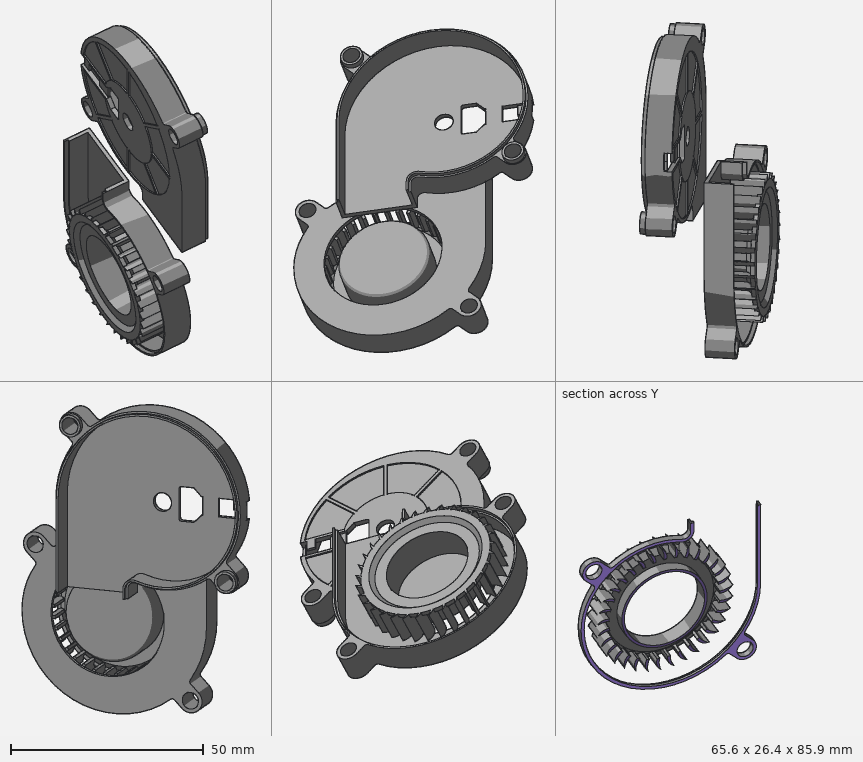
import cadquery as cq
import math


volute_radius = 25.6
volute_shift = 1.8
small_volute_radius = volute_radius - 2 * volute_shift
outlet_height = 25.3
outlet_inner_side = -7.4
tongue_radius = 1.7
wall = 1.0
lip_wall = 0.5

lug_centres = [(20.1, 17.9), (-22.95, -20.1)]
lug_radius = 3.3
lug_hole_radius = 2.2
lug_reach = 6.0
lug_fillet = 0.9

housing_front = 3.95
housing_depth = 7.8
housing_floor = 1.1
groove_depth = 1.1
intake_radius = 15.7

cover_x = -18.0
cover_z = 34.7
cover_front = 17.7
cover_depth = 7.1
cover_floor = 1.4
lip_height = 1.0
boss_radius = 2.9
boss_height = 1.55
bearing_hole_radius = 2.5

sector_depth = 0.4
sector_inner_radius = 11.9
sector_outer_radius = 21.8
sector_shift = (-0.8, 0.6)
spoke_count = 8
spoke_width = 0.95
channel_land = 0.8

slot_half_height = 2.5
slot_end = -10.8
slot_start = wall + volute_shift - volute_radius
window_half_height = 4.6
window_slope_end = slot_end + window_half_height - slot_half_height
window_right = -4.55
window_fillet = 0.7
bridge_left = -15.6
bridge_right = -11.2
bridge_recess = 0.7
notch_depth = 2.15
tab_left = -21.8
tab_right = -19.5
tab_bottom = -0.4
tab_thickness = 0.7

rim_inner_radius = 15.7
rim_outer_radius = 18.0
rim_thickness = 1.2
cone_outer_radius = 16.9
flange_radius = 15.3
flange_back = 2.75
hub_radius = 12.2
hub_bore_radius = 11.35
hub_floor = 9.9
hub_back = 10.7
hub_fillet = 0.9
blade_count = 33
blade_length = 9.1
blade_inner_radius = 15.7
blade_middle_radius = 17.9
blade_tip_radius = 19.5
blade_tip_angle = 87.3


def sketch_plane(y):
    """Plane with local axes X and Z at depth y; a negative extrusion runs toward +Y."""
    return cq.Workplane("XZ", origin=(0, y, 0))


def disc(x, z, radius, y, depth):
    return sketch_plane(y).center(x, z).circle(radius).extrude(-depth)


def block(x_min, x_max, z_min, z_max, y, depth):
    size = (x_max - x_min, depth, z_max - z_min)
    return cq.Workplane("XY").box(*size, centered=False).translate((x_min, y, z_min))


def polar(radius, angle):
    turn = math.radians(angle)
    return radius * math.cos(turn), radius * math.sin(turn)


def scroll(inset, y, depth):
    """Scroll-shaped slab, inset from the outer outline; an inset slab runs out past the outlet end."""
    big = volute_radius - inset
    small = small_volute_radius - inset
    corner = tongue_radius + inset
    left = -volute_shift - big
    right = volute_shift + small
    top = outlet_height + inset
    neck = outlet_inner_side - inset
    corner_x = neck + corner
    corner_z = math.sqrt((small + corner) ** 2 - (corner_x - volute_shift) ** 2)
    join_angle = math.degrees(math.atan2(corner_z, corner_x - volute_shift))
    join_x, join_z = polar(small, join_angle)
    mid_x, mid_z = polar(small, join_angle / 2)
    bend_angle = 180 + join_angle / 2
    bend_x, bend_z = polar(corner, bend_angle)
    return (
        sketch_plane(y)
        .moveTo(left, top)
        .lineTo(left, 0)
        .threePointArc((-volute_shift, -big), (right, 0))
        .threePointArc((mid_x + volute_shift, mid_z), (join_x + volute_shift, join_z))
        .threePointArc((corner_x + bend_x, corner_z + bend_z), (neck, corner_z))
        .lineTo(neck, top)
        .close()
        .extrude(-depth)
    )


def scroll_with_lugs(y, depth):
    """Solid scroll with two lugs, not yet bored, blended into its side."""
    body = scroll(0, y, depth)
    for x, z in lug_centres:
        inward = 225 if x > 0 else 45
        mid_x, mid_z = polar(lug_reach / 2, inward)
        web = (
            sketch_plane(y)
            .center(x + mid_x, z + mid_z)
            .transformed(rotate=(0, 0, inward))
            .rect(lug_reach, 2 * lug_radius)
            .extrude(-depth)
        )
        body = body.union(disc(x, z, lug_radius, y, depth)).union(web)
        root_x, root_z = polar(lug_reach, inward)
        root = cq.selectors.BoxSelector(
            (x + root_x - lug_reach, y, z + root_z - lug_reach),
            (x + root_x + lug_reach, y + depth, z + root_z + lug_reach),
        )
        body = body.edges("|Y").edges(root).fillet(lug_fillet)
    return body


def bore_lugs(body, y, depth):
    for x, z in lug_centres:
        body = body.cut(disc(x, z, lug_hole_radius, y, depth))
    return body


def make_housing():
    body = scroll_with_lugs(housing_front, housing_depth)
    body = body.cut(scroll(wall, housing_front, housing_depth - housing_floor))
    body = body.cut(scroll(lip_wall, housing_front, groove_depth))
    body = body.cut(disc(0, 0, intake_radius, housing_front, housing_depth))
    return bore_lugs(body, housing_front, housing_depth)


def turned(body):
    """Half turn in the X-Z plane that keeps the depth direction."""
    return body.rotate((0, 0, 0), (0, 1, 0), 180)


def cover_sectors():
    """Ring of shallow sectors left between the spokes."""
    shift_x, shift_z = sector_shift
    ring = disc(shift_x, shift_z, sector_outer_radius, 0, sector_depth)
    ring = ring.cut(disc(0, 0, sector_inner_radius, 0, sector_depth))
    for i in range(spoke_count):
        spoke = block(0, volute_radius, -spoke_width / 2, spoke_width / 2, 0, sector_depth)
        ring = ring.cut(spoke.rotate((0, 0, 0), (0, 1, 0), i * 360 / spoke_count))
    land = slot_half_height + channel_land
    return ring.cut(block(-volute_radius, 0, -land, land, 0, sector_depth))


def cover_window():
    """Hole with a sloped mouth beside the bearing hole, joined to the cable slot."""
    return (
        sketch_plane(0)
        .moveTo(bridge_right, -slot_half_height)
        .lineTo(slot_end, -slot_half_height)
        .lineTo(window_slope_end, -window_half_height)
        .lineTo(window_right, -window_half_height)
        .lineTo(window_right, window_half_height)
        .lineTo(window_slope_end, window_half_height)
        .lineTo(slot_end, slot_half_height)
        .lineTo(bridge_right, slot_half_height)
        .close()
        .extrude(-cover_floor)
        .edges("|Y and >X")
        .fillet(window_fillet)
    )


def make_cover():
    full_depth = cover_depth + boss_height
    body = scroll_with_lugs(0, cover_depth)
    body = body.union(scroll(lip_wall, 0, cover_depth + lip_height).intersect(scroll(0, 0, full_depth)))
    for x, z in lug_centres:
        body = body.union(disc(x, z, boss_radius, cover_depth, boss_height))
    body = body.cut(scroll(wall, cover_floor, full_depth))
    body = turned(bore_lugs(body, 0, full_depth))
    body = body.cut(disc(0, 0, bearing_hole_radius, 0, cover_floor))
    body = body.cut(cover_sectors()).cut(cover_window())
    half = slot_half_height
    body = body.cut(block(slot_start, bridge_left, -half, half, 0, cover_floor))
    body = body.cut(block(bridge_left, bridge_right, -half, half, 0, bridge_recess))
    body = body.cut(block(-volute_radius, slot_start, -half, half, 0, notch_depth))
    body = body.union(block(tab_left, tab_right, tab_bottom, half, 0, tab_thickness))
    return body.translate((cover_x, cover_front, cover_z))


def impeller_hub():
    """Cup, flange, cone and front rim, revolved about the fan axis."""
    arc_middle = hub_fillet * math.sqrt(0.5)
    arc_centre = (hub_radius - hub_fillet, hub_back - hub_fillet)
    return (
        cq.Workplane("XY")
        .moveTo(0, hub_floor)
        .lineTo(hub_bore_radius, hub_floor)
        .lineTo(hub_bore_radius, rim_thickness)
        .lineTo(rim_inner_radius - rim_thickness, rim_thickness)
        .lineTo(rim_inner_radius, 0)
        .lineTo(rim_outer_radius, 0)
        .lineTo(rim_outer_radius, rim_thickness)
        .lineTo(cone_outer_radius, rim_thickness)
        .lineTo(flange_radius, flange_back)
        .lineTo(hub_radius, flange_back)
        .lineTo(hub_radius, hub_back - hub_fillet)
        .threePointArc(
            (arc_centre[0] + arc_middle, arc_centre[1] + arc_middle),
            (hub_radius - hub_fillet, hub_back),
        )
        .lineTo(0, hub_back)
        .close()
        .revolve(360, (0, 0, 0), (0, 1, 0))
    )


def blade():
    """Curved blade that thins to a sharp tip; its tip lies on the X axis."""
    return (
        sketch_plane(0)
        .moveTo(*polar(blade_inner_radius, 2.0))
        .threePointArc(polar(blade_middle_radius, 1.7), (blade_tip_radius, 0))
        .threePointArc(polar(blade_middle_radius, 4.3), polar(blade_inner_radius, 5.0))
        .close()
        .extrude(-blade_length)
    )


def make_impeller():
    body = impeller_hub()
    for i in range(blade_count):
        angle = blade_tip_angle + i * 360 / blade_count
        body = body.union(blade().rotate((0, 0, 0), (0, -1, 0), angle))
    return body


housing = make_housing()
cover = make_cover()
impeller = make_impeller()

result = cq.Compound.makeCompound([housing.val(), cover.val(), impeller.val()])